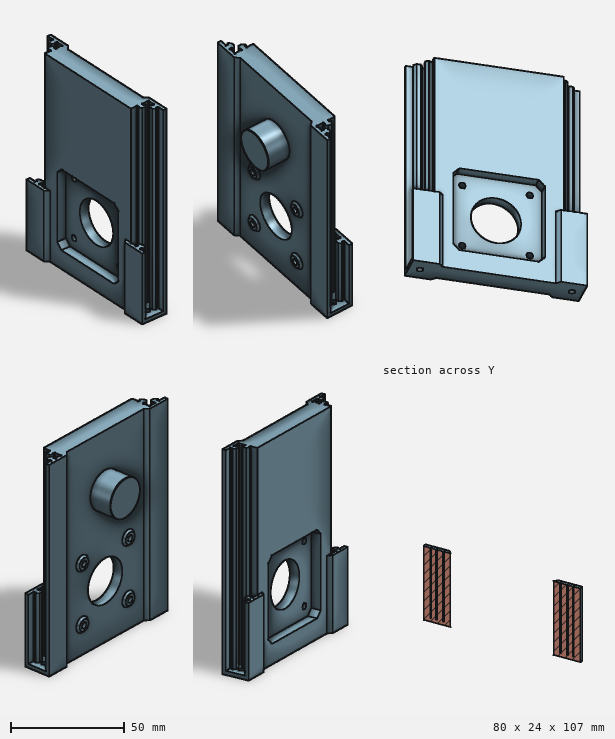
import cadquery as cq

width = 80.0
height = 107.0
guide_thickness = 14.0
guide_width = 14.0
wall = 1.9
plate_thickness = guide_thickness - 2 * wall
front_wall_height = 37.0

half_width = width / 2
back_face = guide_thickness / 2
plate_back = plate_thickness / 2

floor_thickness = 2.0
channel_depth = 10.2
beam_axis_inset = channel_depth / 2
beam_hole_diameter = 3.0
relief_size = 0.4

rib_neck_width = 2.6
rib_head_width = 4.1
rib_tip_width = 1.8
rib_neck_height = 1.2
rib_head_height = 0.5
rib_height = 2.9

motor_height = 30.9
motor_size = 42.2
motor_corner = 2.9
motor_depth = 5.0
motor_bore_diameter = 23.0
screw_spacing = 31.0
screw_diameter = 3.0
screw_boss_base_diameter = 8.0
screw_boss_tip_diameter = 6.0
screw_boss_height = 1.2

post_height = 77.0
post_diameter = 20.0
post_tip_diameter = 19.7
post_length = 10.0
post_chamfer_length = 0.3


def box(x_range, y_range, z_range):
    """Block between two limits along each axis."""
    corner, far = zip(x_range, y_range, z_range)
    sizes = [b - a for a, b in zip(corner, far)]
    return cq.Workplane("XY").box(*sizes, centered=False).translate(corner)


def facing_back(y):
    """Plane at the given Y whose normal points to +Y; local x is -X, local y is Z."""
    return cq.Workplane(cq.Plane(origin=(0, y, 0), xDir=(-1, 0, 0), normal=(0, 1, 0)))


def guide_block():
    """Solid left guide block with its two inner corners sloping down to the plate."""
    outline = [
        (-half_width, -back_face),
        (-half_width + guide_width - wall, -back_face),
        (-half_width + guide_width, -plate_back),
        (-half_width + guide_width, plate_back),
        (-half_width + guide_width - wall, back_face),
        (-half_width, back_face),
    ]
    return cq.Workplane("XY").polyline(outline).close().extrude(height)


def beam_rib(base, turn):
    """Rib on a channel wall, standing on the point base; at turn = 0 it points to +Y."""
    head_top = rib_neck_height + rib_head_height
    right_side = [
        (rib_neck_width / 2, 0),
        (rib_neck_width / 2, rib_neck_height),
        (rib_head_width / 2, rib_neck_height),
        (rib_head_width / 2, head_top),
        (rib_tip_width / 2, rib_height),
    ]
    left_side = [(-x, y) for x, y in reversed(right_side)]
    rib = cq.Workplane("XY").polyline(right_side + left_side).close().extrude(height)
    return rib.rotate((0, 0, 0), (0, 0, 1), turn).translate((*base, 0))


def beam_channel():
    """Space taken by the beam in the left guide block, from the floor to the top."""
    inner = -half_width + channel_depth
    axis = -half_width + beam_axis_inset
    z_range = (floor_thickness, height)
    channel = box((-half_width, inner), (-plate_back, plate_back), z_range)

    channel = channel.cut(beam_rib((axis, -plate_back), 0))
    channel = channel.cut(beam_rib((axis, plate_back), 180))
    channel = channel.cut(beam_rib((inner, 0), 90))

    beside_rib = (rib_neck_width + relief_size) / 2
    relief_points = [(inner, y) for y in (-plate_back, -beside_rib, beside_rib, plate_back)]
    for x in (axis - beside_rib, axis + beside_rib):
        relief_points += [(x, -plate_back), (x, plate_back)]
    reliefs = cq.Workplane("XY").workplane(offset=floor_thickness).pushPoints(relief_points)
    channel = channel.union(reliefs.rect(relief_size, relief_size).extrude(height - floor_thickness))

    beam_hole = cq.Workplane("XY").center(axis, 0).circle(beam_hole_diameter / 2).extrude(floor_thickness)
    return channel.union(beam_hole)


def front_opening():
    """Space above the low front wall, with the front rib of the channel removed as well."""
    rib_side = -half_width + beam_axis_inset + rib_head_width / 2
    rib_tip = -plate_back + rib_height
    z_range = (front_wall_height, height)
    wall_gap = box((-half_width, -half_width + guide_width), (-back_face, -plate_back), z_range)
    rib_gap = box((-half_width, rib_side), (-plate_back, rib_tip), z_range)
    return wall_gap.union(rib_gap)


def motor_seat():
    """Pocket with clipped corners and the large bore behind it."""
    pocket = box(
        (-motor_size / 2, motor_size / 2),
        (-plate_back, -plate_back + motor_depth),
        (motor_height - motor_size / 2, motor_height + motor_size / 2),
    ).edges("|Y").chamfer(motor_corner)
    bore = facing_back(-plate_back).center(0, motor_height).circle(motor_bore_diameter / 2)
    return pocket.union(bore.extrude(plate_thickness))


def screw_bosses():
    """Low tapered bosses on the back of the plate, one behind each motor screw."""
    bosses = []
    for x in (-screw_spacing / 2, screw_spacing / 2):
        for z in (motor_height - screw_spacing / 2, motor_height + screw_spacing / 2):
            base = cq.Vector(x, plate_back, z)
            bosses.append(cq.Solid.makeCone(
                screw_boss_base_diameter / 2, screw_boss_tip_diameter / 2, screw_boss_height,
                base, cq.Vector(0, 1, 0)))
    return cq.Workplane("XY").newObject(bosses).combine()


def screw_holes():
    """Through holes for the four motor screws."""
    holes = facing_back(-plate_back).center(0, motor_height)
    holes = holes.rect(screw_spacing, screw_spacing, forConstruction=True).vertices()
    return holes.circle(screw_diameter / 2).extrude(plate_thickness + screw_boss_height)


def post():
    """Round post on the back of the plate with a fine chamfer at its free end."""
    length = back_face + post_length - plate_back
    radial_chamfer = (post_diameter - post_tip_diameter) / 2
    body = facing_back(plate_back).center(0, post_height).circle(post_diameter / 2).extrude(length)
    return body.faces(">Y").edges().chamfer(post_chamfer_length, radial_chamfer)


left_guide = guide_block().cut(beam_channel()).cut(front_opening())
right_guide = left_guide.mirror("YZ")
plate_half_width = half_width - guide_width

result = box((-plate_half_width, plate_half_width), (-plate_back, plate_back), (0, height))
result = result.union(left_guide).union(right_guide)
result = result.cut(motor_seat())
result = result.union(screw_bosses()).union(post())
result = result.cut(screw_holes())